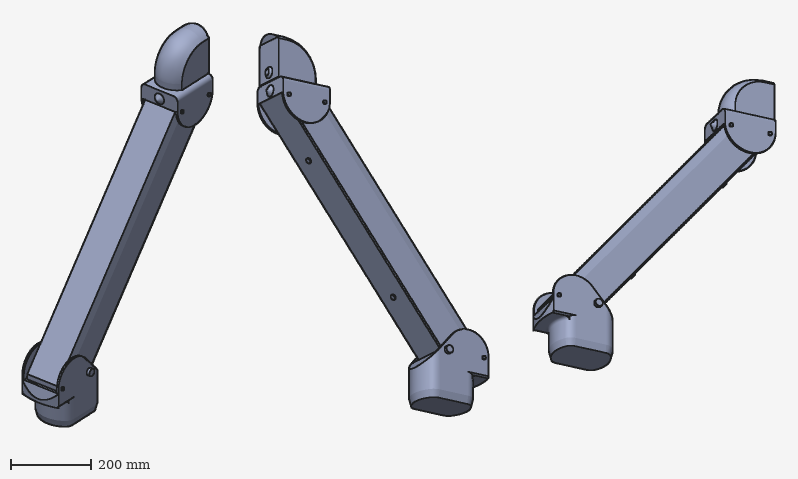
import cadquery as cq
import math


CHEEK_WIDTH = 116.0
TUBE_WIDTH = 105.0
ELBOW_WIDTH = 87.0

FOOT_RADIUS = 80.0
FOOT_CORNER = 28.0
FOOT_TAPER_HEIGHT = 20.0
FOOT_TAPER_INSET = 5.0
CHEEK_RADIUS = 62.0
CHEEK_Y = -42.0
CHEEK_Z = 134.0
CHEEK_SLOPE = 49.0
OVERHANG_Z = 79.0
OVERHANG_FILLET = 9.0
OVERHANG_EDGE = 4.0
FOOT_SLOT_Z = 120.5
LIP_DEPTH = 10.0
LIP_EDGE_Z = 90.0

PIVOT_DIAMETER = 20.0
PIVOT_SPAN = 134.0
PIVOT_Y = 18.5
BOLT_DIAMETER = 10.0
BOLT_SPAN = 122.0
FOOT_BOLT_Y = -89.0
PIN_Z = 129.0

TUBE_ANGLE = 50.8
TUBE_DEPTH = 105.0
TUBE_TOP_EDGE_Y = -46.0
TUBE_TOP_EDGE_Z = 197.0
TUBE_END_RADIUS = 54.0
SHOULDER_INSET = 4.0
SHOULDER_DROP = 23.0
LOWER_CHAMFER = 3.5
STUD_DIAMETER = 14.0
STUD_HEIGHT = 3.5
STUD_POSITIONS = (169.0, 570.0)

YOKE_Y = 441.5
YOKE_Z = 718.0
YOKE_RADIUS = 70.0
YOKE_TOP = 758.0
YOKE_ROUND = 13.0
YOKE_SLOT_Z = 714.0
YOKE_BOLT_OFFSET = 54.0
YOKE_BOLT_Z = 711.0
CONE_DIAMETER = 30.0
CONE_HEIGHT = 12.0
CONE_Z = 733.5

TOTAL_HEIGHT = 879.5
BEND_Y = 489.0
BEND_Z = 777.0
BEND_OUTER = TOTAL_HEIGHT - BEND_Z
BEND_SHOULDER = 83.0
OUTLET_Y = 515.0
RIM_DEPTH = 8.0
RIM_HEIGHT = 16.0
KNOB_TOP_DIAMETER = 18.0
KNOB_HEIGHT = 6.0
KNOB_Z = 781.0


def block(width, y_min, y_max, z_min, z_max):
    """Box centred on x = 0."""
    size_y = y_max - y_min
    size_z = z_max - z_min
    return (
        cq.Workplane("XY")
        .box(width, size_y, size_z)
        .translate((0, y_min + size_y / 2, z_min + size_z / 2))
    )


def cross_pin(diameter, span, y, z):
    """Round pin along X, centred on x = 0."""
    return cq.Workplane("YZ").center(y, z).circle(diameter / 2).extrude(span / 2, both=True)


def cone_stud(base_diameter, top_diameter, height, y, z, direction):
    """Cone standing on a face at y and pointing along +Y or -Y."""
    return cq.Workplane(
        cq.Solid.makeCone(
            base_diameter / 2, top_diameter / 2, height, cq.Vector(0, y, z), cq.Vector(0, direction, 0)
        )
    )


CHEEK_FRONT = CHEEK_Y - CHEEK_RADIUS
CHEEK_TOP = CHEEK_Z + CHEEK_RADIUS

CORNER_X = CHEEK_WIDTH / 2 - FOOT_CORNER
CORNER_Y = math.sqrt((FOOT_RADIUS - FOOT_CORNER) ** 2 - CORNER_X**2)
CORNER_ANGLE = math.degrees(math.atan2(CORNER_Y, CORNER_X))


def foot_plan(z):
    """Circle with two flat sides and rounded corners, as a closed outline at height z."""
    half = CHEEK_WIDTH / 2
    blend = FOOT_RADIUS / (FOOT_RADIUS - FOOT_CORNER)
    end_x = CORNER_X * blend
    end_y = CORNER_Y * blend
    return (
        cq.Workplane("XY", origin=(0, 0, z))
        .moveTo(half, -CORNER_Y)
        .lineTo(half, CORNER_Y)
        .tangentArcPoint((end_x, end_y), relative=False)
        .threePointArc((0, FOOT_RADIUS), (-end_x, end_y))
        .tangentArcPoint((-half, CORNER_Y), relative=False)
        .lineTo(-half, -CORNER_Y)
        .tangentArcPoint((-end_x, -end_y), relative=False)
        .threePointArc((0, -FOOT_RADIUS), (end_x, -end_y))
        .tangentArcPoint((half, -CORNER_Y), relative=False)
        .close()
    )


def collar_sector(center_x, center_y, radius, start_angle, sweep):
    """Part of the concave round under the overhang, swept about a vertical axis."""
    start = math.radians(start_angle)
    plane = cq.Plane(
        origin=(center_x, center_y, OVERHANG_Z),
        xDir=(math.cos(start), math.sin(start), 0),
        normal=(math.sin(start), -math.cos(start), 0),
    )
    bow = OVERHANG_FILLET * (1 - math.sqrt(0.5))
    return (
        cq.Workplane(plane)
        .moveTo(0, 0)
        .lineTo(radius + OVERHANG_FILLET, 0)
        .threePointArc((radius + bow, -bow), (radius, -OVERHANG_FILLET))
        .lineTo(0, -OVERHANG_FILLET)
        .close()
        .revolve(sweep, (0, 0), (0, 1))
    )


def overhang_collar():
    """Concave round where the column meets the underside of the overhang."""
    front = collar_sector(0, 0, FOOT_RADIUS, CORNER_ANGLE - 180, 180 - 2 * CORNER_ANGLE)
    right = collar_sector(CORNER_X, -CORNER_Y, FOOT_CORNER, -CORNER_ANGLE, CORNER_ANGLE)
    left = collar_sector(-CORNER_X, -CORNER_Y, FOOT_CORNER, -180, CORNER_ANGLE)
    width = CHEEK_WIDTH - 2 * OVERHANG_EDGE
    bounds = block(width, CHEEK_FRONT, 0, OVERHANG_Z - OVERHANG_FILLET, OVERHANG_Z)
    return front.union(right).union(left).intersect(bounds)


def foot_side_profile():
    """Side outline of the foot: round cheek, sloping back and overhanging front."""
    slope = math.radians(CHEEK_SLOPE)
    tangent_y = CHEEK_Y + CHEEK_RADIUS * math.sin(slope)
    tangent_z = CHEEK_Z + CHEEK_RADIUS * math.cos(slope)
    back_z = tangent_z - (FOOT_RADIUS - tangent_y) * math.tan(slope)
    return (
        cq.Workplane("YZ")
        .moveTo(CHEEK_FRONT, 0)
        .lineTo(CHEEK_FRONT, CHEEK_Z)
        .threePointArc((CHEEK_Y, CHEEK_TOP), (tangent_y, tangent_z))
        .lineTo(FOOT_RADIUS, back_z)
        .lineTo(FOOT_RADIUS, 0)
        .close()
        .extrude(CHEEK_WIDTH / 2, both=True)
    )


def front_lip():
    """Bowed lip on the front of the foot, sloping back toward its top."""
    half = CHEEK_WIDTH / 2
    bow = (
        cq.Workplane("XY", origin=(0, 0, OVERHANG_Z))
        .moveTo(-half, CHEEK_FRONT)
        .threePointArc((0, CHEEK_FRONT - LIP_DEPTH), (half, CHEEK_FRONT))
        .close()
        .extrude(FOOT_SLOT_Z - OVERHANG_Z)
    )
    slope = (
        cq.Workplane("YZ")
        .moveTo(CHEEK_FRONT, OVERHANG_Z)
        .lineTo(CHEEK_FRONT - LIP_DEPTH, OVERHANG_Z)
        .lineTo(CHEEK_FRONT - LIP_DEPTH, LIP_EDGE_Z)
        .lineTo(CHEEK_FRONT, FOOT_SLOT_Z)
        .close()
        .extrude(half, both=True)
    )
    return bow.intersect(slope)


def make_foot():
    column = foot_plan(FOOT_TAPER_HEIGHT).extrude(CHEEK_TOP - FOOT_TAPER_HEIGHT)
    head = block(CHEEK_WIDTH, CHEEK_FRONT, 0, OVERHANG_Z, CHEEK_TOP)
    head = head.faces("<Z").edges("|Y").chamfer(OVERHANG_EDGE)
    body = column.union(head).intersect(foot_side_profile())
    body = body.union(overhang_collar())
    taper = math.degrees(math.atan2(FOOT_TAPER_INSET, FOOT_TAPER_HEIGHT))
    body = body.union(foot_plan(FOOT_TAPER_HEIGHT).extrude(-FOOT_TAPER_HEIGHT, taper=taper))
    body = body.union(front_lip())
    body = body.cut(block(TUBE_WIDTH, CHEEK_FRONT, FOOT_RADIUS, FOOT_SLOT_Z, CHEEK_TOP))

    bosses = cross_pin(PIVOT_DIAMETER, PIVOT_SPAN, PIVOT_Y, PIN_Z)
    bosses = bosses.union(cross_pin(BOLT_DIAMETER, BOLT_SPAN, FOOT_BOLT_Y, PIN_Z))
    bosses = bosses.cut(block(CHEEK_WIDTH, CHEEK_FRONT, FOOT_RADIUS, 0, CHEEK_TOP))
    return body.union(bosses)


def tube_plane(distance):
    """Plane across the tube; local X is X and local Y runs from the upper face into the tube."""
    angle = math.radians(TUBE_ANGLE)
    along_y = math.cos(angle)
    along_z = math.sin(angle)
    origin = (0, TUBE_TOP_EDGE_Y + distance * along_y, TUBE_TOP_EDGE_Z + distance * along_z)
    return cq.Plane(origin=origin, xDir=(1, 0, 0), normal=(0, along_y, along_z))


def tube_envelope():
    """Region between foot and yoke: level ends, with a round nose at the front of the foot."""
    nose_y = CHEEK_Y - TUBE_END_RADIUS
    back_y = YOKE_Y + YOKE_RADIUS
    nose_end = math.radians(90 - TUBE_ANGLE)
    nose_mid = nose_end / 2
    return (
        cq.Workplane("YZ")
        .moveTo(nose_y, FOOT_SLOT_Z)
        .lineTo(nose_y, CHEEK_Z)
        .threePointArc(
            (CHEEK_Y - TUBE_END_RADIUS * math.cos(nose_mid), CHEEK_Z + TUBE_END_RADIUS * math.sin(nose_mid)),
            (CHEEK_Y - TUBE_END_RADIUS * math.cos(nose_end), CHEEK_Z + TUBE_END_RADIUS * math.sin(nose_end)),
        )
        .lineTo(nose_y, YOKE_SLOT_Z)
        .lineTo(back_y, YOKE_SLOT_Z)
        .lineTo(back_y, FOOT_SLOT_Z)
        .close()
        .extrude(TUBE_WIDTH / 2, both=True)
    )


def make_tube():
    half = TUBE_WIDTH / 2
    overrun = 2 * TUBE_DEPTH
    length = (YOKE_TOP - FOOT_SLOT_Z) / math.sin(math.radians(TUBE_ANGLE))
    tube = (
        cq.Workplane(tube_plane(-overrun))
        .moveTo(-half + SHOULDER_INSET, 0)
        .lineTo(half - SHOULDER_INSET, 0)
        .lineTo(half, SHOULDER_DROP)
        .lineTo(half, TUBE_DEPTH - LOWER_CHAMFER)
        .lineTo(half - LOWER_CHAMFER, TUBE_DEPTH)
        .lineTo(-half + LOWER_CHAMFER, TUBE_DEPTH)
        .lineTo(-half, TUBE_DEPTH - LOWER_CHAMFER)
        .lineTo(-half, SHOULDER_DROP)
        .close()
        .extrude(length + overrun)
        .intersect(tube_envelope())
    )
    for distance in STUD_POSITIONS:
        plane = tube_plane(distance)
        foot_of_stud = plane.toWorldCoords((0, TUBE_DEPTH, 0))
        stud = cq.Solid.makeCylinder(STUD_DIAMETER / 2, STUD_HEIGHT, foot_of_stud, plane.yDir)
        tube = tube.union(cq.Workplane(stud))
    return tube


def make_yoke():
    front_y = YOKE_Y - YOKE_RADIUS
    back_y = YOKE_Y + YOKE_RADIUS
    bottom_z = YOKE_Z - YOKE_RADIUS
    body = (
        cq.Workplane("YZ")
        .moveTo(front_y, YOKE_TOP)
        .lineTo(front_y, YOKE_Z)
        .threePointArc((YOKE_Y, bottom_z), (back_y, YOKE_Z))
        .lineTo(back_y, YOKE_TOP)
        .close()
        .extrude(CHEEK_WIDTH / 2, both=True)
    )
    body = body.faces(">Z").edges("|Y").fillet(YOKE_ROUND)
    body = body.cut(block(TUBE_WIDTH, front_y, back_y, bottom_z, YOKE_SLOT_Z))

    for side in (-1, 1):
        bolt = cross_pin(BOLT_DIAMETER, BOLT_SPAN, YOKE_Y + side * YOKE_BOLT_OFFSET, YOKE_BOLT_Z)
        body = body.union(bolt.cut(block(CHEEK_WIDTH, front_y, back_y, bottom_z, YOKE_TOP)))
        face_y = YOKE_Y + side * YOKE_RADIUS
        body = body.union(cone_stud(CONE_DIAMETER, 0, CONE_HEIGHT, face_y, CONE_Z, side))
    return body


def elbow_section(plane):
    """Flat-sided section with a round crown; local X is X, local Y is the distance from the bend axis."""
    half = ELBOW_WIDTH / 2
    return (
        cq.Workplane(plane)
        .moveTo(-half, 0)
        .lineTo(half, 0)
        .lineTo(half, BEND_SHOULDER)
        .threePointArc((0, BEND_OUTER), (-half, BEND_SHOULDER))
        .close()
    )


def make_elbow():
    bend_axis = (0, BEND_Y, BEND_Z)
    outlet_plane = cq.Plane(origin=bend_axis, xDir=(1, 0, 0), normal=(0, -1, 0))
    inlet_plane = cq.Plane(origin=bend_axis, xDir=(1, 0, 0), normal=(0, 0, -1))
    rim_y = OUTLET_Y + RIM_DEPTH

    bend = elbow_section(outlet_plane).revolve(90, (0, 0), (1, 0))
    outlet = elbow_section(outlet_plane).extrude(BEND_Y - rim_y)
    rim_slope = (
        cq.Workplane("YZ")
        .moveTo(rim_y, BEND_Z)
        .lineTo(OUTLET_Y, BEND_Z)
        .lineTo(OUTLET_Y, TOTAL_HEIGHT - RIM_HEIGHT)
        .lineTo(rim_y, TOTAL_HEIGHT)
        .close()
        .extrude(ELBOW_WIDTH / 2, both=True)
    )
    outlet = outlet.cut(rim_slope)
    inlet = elbow_section(inlet_plane).extrude(BEND_Z - YOKE_TOP)
    corner = block(ELBOW_WIDTH, BEND_Y, OUTLET_Y, YOKE_TOP, BEND_Z)
    knob = cone_stud(CONE_DIAMETER, KNOB_TOP_DIAMETER, KNOB_HEIGHT, OUTLET_Y, KNOB_Z, 1)
    return bend.union(outlet).union(inlet).union(corner).union(knob)


foot = make_foot()
tube = make_tube()
yoke = make_yoke()
elbow = make_elbow()

result = cq.Compound.makeCompound([foot.val(), tube.val(), yoke.val(), elbow.val()])